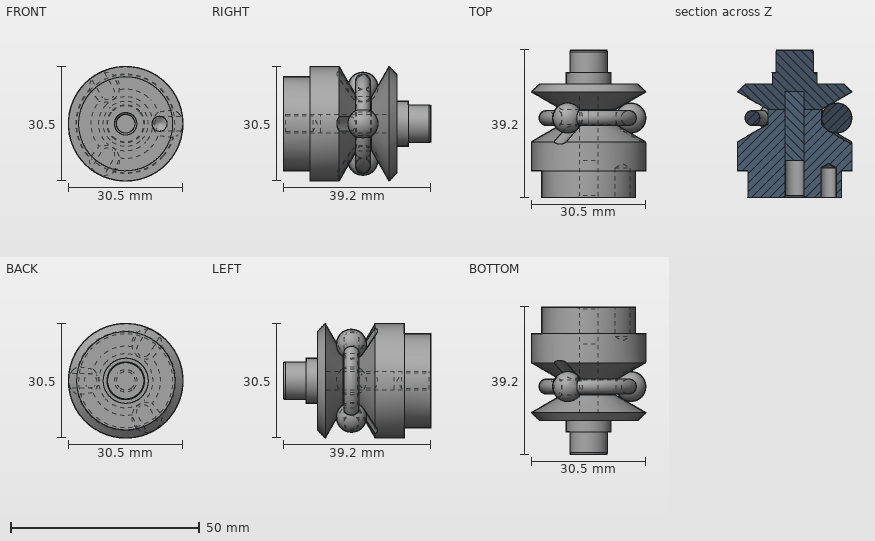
import cadquery as cq
import math


ball_radius = 4.0
ring_radius = 11.2
ring_wire_radius = 2.0
ring_y = 21.13
ball_angles = (0, 120, 240)

base_radius = 12.5
base_length = 7.05
flange_radius = 15.25
flange_end_y = 14.8
hub_radius = 7.2
cone_slope = math.tan(math.radians(30))
hub_cone_y = flange_end_y + (flange_radius - hub_radius) * cone_slope
bore_radius = 2.45
bore_mouth_radius = 2.98
bore_chamfer = bore_mouth_radius - bore_radius
side_hole_radius = 2.0
side_hole_offset = 9.0
side_hole_depth = 7.85
drill_tip_length = side_hole_radius * math.tan(math.radians(31))

ball_cone_gap = ball_radius / math.cos(math.radians(30))
rim_y = ring_y + ball_cone_gap + (flange_radius - ring_radius) * cone_slope
plunger_start_y = rim_y - (flange_radius - hub_radius) * cone_slope
plunger_back_y = 30.2
plunger_back_radius = 13.05
collar_radius = 6.0
collar_end_y = 33.2
shank_radius = 5.0
shank_end_y = 39.2
tip_chamfer_length = 0.5
tip_chamfer_height = 0.2

pin_start_y = 9.8
pin_end_y = rim_y


def revolve_profile(points):
    """Revolve a closed (radius, y) outline around the Y axis."""
    return cq.Workplane("XY").polyline(points).close().revolve(360, (0, 0, 0), (0, 1, 0))


def cylinder(radius, start, length, direction=(0, 1, 0)):
    """Round bar starting at a point and running along a direction."""
    return cq.Workplane(cq.Solid.makeCylinder(radius, length, cq.Vector(*start), cq.Vector(*direction)))


def make_ball(angle):
    """Ball on the ring centreline, at an angle from +X towards +Z."""
    x = ring_radius * math.cos(math.radians(angle))
    z = ring_radius * math.sin(math.radians(angle))
    return cq.Workplane("XY").sphere(ball_radius).translate((x, ring_y, z))


def make_ball_groove(angle):
    """Round track along the housing cone, with a ball-shaped inner end."""
    radial_x = math.cos(math.radians(angle))
    radial_z = math.sin(math.radians(angle))
    start = (ring_radius * radial_x, ring_y, ring_radius * radial_z)
    track = cylinder(ball_radius, start, flange_radius, (radial_x, -cone_slope, radial_z))
    return track.union(make_ball(angle))


def make_housing():
    """Stepped base with a front cone, hub, bore, side hole and ball grooves."""
    housing = revolve_profile([
        (0, 0),
        (base_radius, 0),
        (base_radius, base_length),
        (flange_radius, base_length),
        (flange_radius, flange_end_y),
        (hub_radius, hub_cone_y),
        (hub_radius, plunger_start_y),
        (0, plunger_start_y),
    ])
    bore = revolve_profile([
        (0, 0),
        (bore_mouth_radius, 0),
        (bore_radius, bore_chamfer),
        (bore_radius, plunger_start_y),
        (0, plunger_start_y),
    ])
    side_hole = revolve_profile([
        (0, 0),
        (side_hole_radius, 0),
        (side_hole_radius, side_hole_depth),
        (0, side_hole_depth + drill_tip_length),
    ]).translate((side_hole_offset, 0, 0))
    housing = housing.cut(bore).cut(side_hole)
    for angle in ball_angles:
        housing = housing.cut(make_ball_groove(angle))
    return housing


def make_pin():
    """Centre pin joining the housing bore to the plunger."""
    return cylinder(bore_radius, (0, pin_start_y, 0), pin_end_y - pin_start_y)


def make_plunger():
    """Double-coned head with a collar, a chamfered shank and a pin socket."""
    plunger = revolve_profile([
        (0, plunger_start_y),
        (hub_radius, plunger_start_y),
        (flange_radius, rim_y),
        (plunger_back_radius, plunger_back_y),
        (collar_radius, plunger_back_y),
        (collar_radius, collar_end_y),
        (shank_radius, collar_end_y),
        (shank_radius, shank_end_y - tip_chamfer_length),
        (shank_radius - tip_chamfer_height, shank_end_y),
        (0, shank_end_y),
    ])
    return plunger.cut(make_pin())


def make_ball_ring():
    """Round-wire ring carrying three balls."""
    torus = cq.Solid.makeTorus(
        ring_radius, ring_wire_radius, cq.Vector(0, ring_y, 0), cq.Vector(0, 1, 0)
    )
    ring = cq.Workplane(torus)
    for angle in ball_angles:
        ring = ring.union(make_ball(angle))
    return ring


housing = make_housing()
plunger = make_plunger()
ball_ring = make_ball_ring()
pin = make_pin()

result = cq.Compound.makeCompound([housing.val(), plunger.val(), ball_ring.val(), pin.val()])